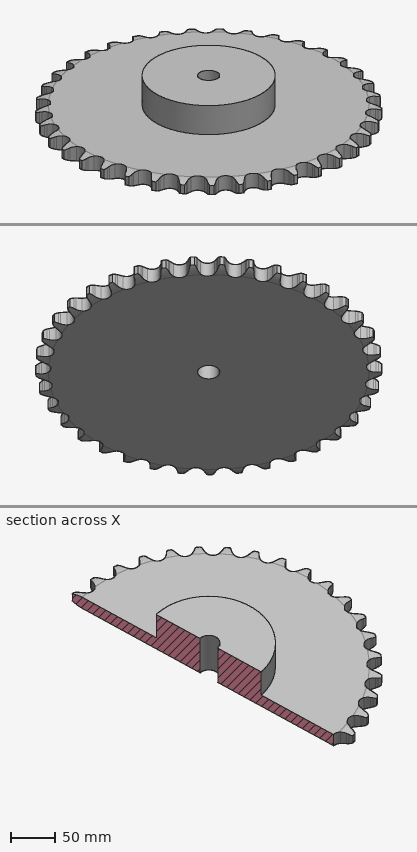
import cadquery as cq
import math


tooth_count = 37
overall_width = 389.5
pitch_diameter = 374.5
roller_diameter = 19.0
tip_land = 4.5
plate_thickness = 18.3
relief_start_radius = 180.3
relief_depth = 3.5
hub_diameter = 150.0
bore_diameter = 25.0
total_height = 55.0

seat_radius = roller_diameter / 2
working_radius = 1.3 * roller_diameter
straight_length = 2.7
seat_sweep = math.radians(53.4)
working_sweep = math.radians(16.5)

half_tooth_angle = math.pi / tooth_count
first_tooth_angle = -math.pi / 2
pitch_radius = pitch_diameter / 2
half_land_angle = tip_land / overall_width
tip_radius = overall_width / 2 / math.cos(half_tooth_angle / 2 - half_land_angle)


def turned(point, angle):
    """Turn a point about the origin."""
    x, y = point
    return (
        x * math.cos(angle) - y * math.sin(angle),
        x * math.sin(angle) + y * math.cos(angle),
    )


def offset(point, distance, angle):
    """Move a point a distance in the direction of an angle."""
    x, y = point
    return (x + distance * math.cos(angle), y + distance * math.sin(angle))


def leading_flank():
    """Points of one flank for a tooth centred on +X, from gap bottom to tip.

    The arcs run tangent into each other: the gap bottom, then the middle and end
    of the seat arc and of the working arc, the end of the straight, and the
    middle and end of the tip arc.
    """
    bottom_angle = math.pi - half_tooth_angle
    seat_end_angle = bottom_angle - seat_sweep
    working_end_angle = seat_end_angle - working_sweep

    seat_centre = turned((pitch_radius, 0), -half_tooth_angle)
    gap_bottom = offset(seat_centre, seat_radius, bottom_angle)
    seat_middle = offset(seat_centre, seat_radius, bottom_angle - seat_sweep / 2)
    seat_end = offset(seat_centre, seat_radius, seat_end_angle)

    working_centre = offset(seat_end, -working_radius, seat_end_angle)
    working_middle = offset(working_centre, working_radius, seat_end_angle - working_sweep / 2)
    working_end = offset(working_centre, working_radius, working_end_angle)

    straight_angle = working_end_angle - math.pi / 2
    straight_end = offset(working_end, straight_length, straight_angle)

    tip_corner = turned((tip_radius, 0), -half_land_angle)
    chord_x = tip_corner[0] - straight_end[0]
    chord_y = tip_corner[1] - straight_end[1]
    half_bend = (math.atan2(chord_y, chord_x) - straight_angle) / 2
    half_chord = math.hypot(chord_x, chord_y) / 2
    tip_middle = offset(straight_end, half_chord / math.cos(half_bend), straight_angle + half_bend)

    return [
        gap_bottom,
        seat_middle,
        seat_end,
        working_middle,
        working_end,
        straight_end,
        tip_middle,
        tip_corner,
    ]


def toothed_blank():
    """Plate with the full tooth outline and square sides."""
    leading = leading_flank()
    trailing = [(x, -y) for x, y in reversed(leading)]
    outline = cq.Workplane("XY").moveTo(*turned(leading[0], first_tooth_angle))
    for tooth in range(tooth_count):
        angle = first_tooth_angle + 2 * half_tooth_angle * tooth
        rise = [turned(point, angle) for point in leading]
        fall = [turned(point, angle) for point in trailing]
        land_middle = turned((tip_radius, 0), angle)
        outline = (
            outline.threePointArc(rise[1], rise[2])
            .threePointArc(rise[3], rise[4])
            .lineTo(*rise[5])
            .threePointArc(rise[6], rise[7])
            .threePointArc(land_middle, fall[0])
            .threePointArc(fall[1], fall[2])
            .lineTo(*fall[3])
            .threePointArc(fall[4], fall[5])
            .threePointArc(fall[6], fall[7])
        )
    return outline.close().extrude(plate_thickness)


def relief_envelope():
    """Disc whose rim thins along arcs tangent to both plate faces."""
    reach = tip_radius - relief_start_radius
    relief_radius = (reach**2 + relief_depth**2) / (2 * relief_depth)
    mid_angle = math.asin(reach / relief_radius) / 2
    mid_radius = relief_start_radius + relief_radius * math.sin(mid_angle)
    mid_depth = relief_radius * (1 - math.cos(mid_angle))
    return (
        cq.Workplane("XZ")
        .lineTo(relief_start_radius, 0)
        .threePointArc((mid_radius, mid_depth), (tip_radius, relief_depth))
        .lineTo(tip_radius, plate_thickness - relief_depth)
        .threePointArc(
            (mid_radius, plate_thickness - mid_depth),
            (relief_start_radius, plate_thickness),
        )
        .lineTo(0, plate_thickness)
        .close()
        .revolve(360, (0, 0, 0), (0, 1, 0))
    )


hub = cq.Workplane("XY").circle(hub_diameter / 2).extrude(total_height)
bore = cq.Workplane("XY").circle(bore_diameter / 2).extrude(total_height)

result = toothed_blank().intersect(relief_envelope()).union(hub).cut(bore)